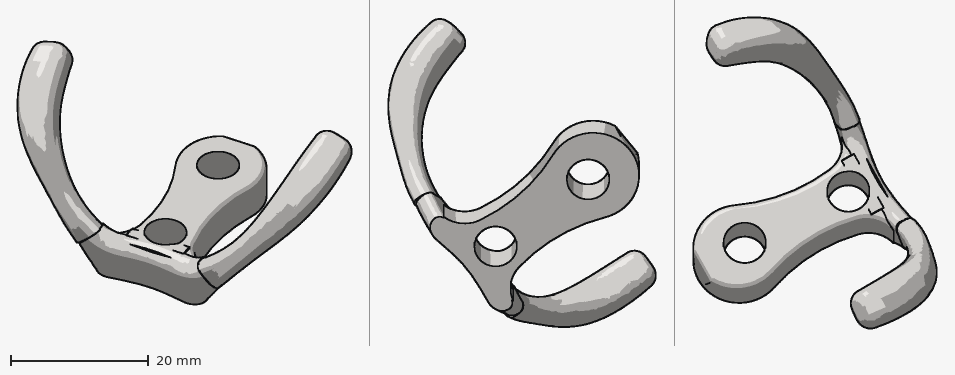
import cadquery as cq
import math


plate_height = 6.25
plate_edge_radius = 1.5
rim_height = plate_height - plate_edge_radius
head_radius = 6.7
plate_back = 24.65
head_y = plate_back - head_radius
back_draft = 6.5
heel_top_y = plate_back - rim_height * math.tan(math.radians(back_draft))
hole_diameter = 6.15
hole_spacing = 17.0

waist_x = 4.2
waist_y = 5.45
flare_radius = 5.0
flare_y = 1.65
flare_sweep_end = 255
flare_bury = 1.55

bar_height = 6.55
bar_rear_end = -3.3
bar_rear_middle = -2.0
ramp_foot_y = -1.35
ramp_top_y = -2.35
ledge_front_y = -3.35
bar_turn = 9.35
bar_front_middle = -5.45
bar_front_end = -6.55
bar_rear_radius = 1.1
bar_front_radius = 1.95
foot_half_length = 8.85
bar_flat_half_length = 4.65
arm_root_upper = (8.1, 7.8)
arm_root_lower = (11.5, 4.2)

arm_stations = [
    ((9.8, -4.9, 5.95), 4.85, 3.2),
    ((13.4, -4.55, 9.8), 3.95, 3.2),
    ((16.8, -3.2, 13.95), 4.25, 3.85),
    ((19.95, -0.8, 18.45), 5.55, 5.2),
    ((22.1, 3.7, 22.3), 6.3, 5.8),
    ((22.95, 10.35, 25.0), 5.6, 5.0),
]
arm_roundness = 0.42
arm_tip_radius = 1.85

selection_margin = 0.25


def mirrored(points):
    """Points reflected in the YZ plane, in reverse order."""
    return [(-x, y) for x, y in reversed(points)]


def on_circle(centre, radius, angle):
    """Point of a circle at an angle in radians."""
    return (centre[0] + radius * math.cos(angle), centre[1] + radius * math.sin(angle))


def plate_outline():
    """Round head, concave waist and flares, all tangent arcs, with a flat back end."""
    waist_radius = (waist_x**2 + (head_y - waist_y) ** 2 - head_radius**2) / (2 * (head_radius - waist_x))
    waist_centre = (waist_x + waist_radius, waist_y)
    flare_dx = math.sqrt((waist_radius - flare_radius) ** 2 - (waist_y - flare_y) ** 2)
    flare_centre = (waist_centre[0] - flare_dx, flare_y)

    head_to_waist = on_circle(waist_centre, waist_radius, math.atan2(head_y - waist_y, -waist_centre[0]))
    flare_start_angle = math.atan2(flare_y - waist_y, -flare_dx) + 2 * math.pi
    flare_end_angle = math.radians(flare_sweep_end)
    waist_to_flare = on_circle(waist_centre, waist_radius, flare_start_angle)
    flare_middle = on_circle(flare_centre, flare_radius, (flare_start_angle + flare_end_angle) / 2)
    flare_end = on_circle(flare_centre, flare_radius, flare_end_angle)

    flat_end = (math.sqrt(head_radius**2 - (heel_top_y - head_y) ** 2), heel_top_y)
    buried_corner = (flare_end[0] - flare_bury, flare_end[1] - flare_bury)
    waist_left, middle_left, end_left = mirrored([flare_end, flare_middle, waist_to_flare])
    return (
        cq.Workplane("XY")
        .moveTo(-flat_end[0], heel_top_y)
        .lineTo(*flat_end)
        .threePointArc((head_radius, head_y), head_to_waist)
        .threePointArc((waist_x, waist_y), waist_to_flare)
        .threePointArc(flare_middle, flare_end)
        .lineTo(*buried_corner)
        .lineTo(-buried_corner[0], buried_corner[1])
        .lineTo(*end_left)
        .threePointArc(middle_left, waist_left)
        .threePointArc((-waist_x, waist_y), mirrored([head_to_waist])[0])
        .threePointArc((-head_radius, head_y), (-flat_end[0], heel_top_y))
        .close()
    )


def screw_plate():
    """Plate with a rounded top rim and a heel that slopes out to the round back end."""
    plate = plate_outline().extrude(plate_height)
    rim = cq.selectors.BoxSelector(
        (-bar_turn, bar_rear_end, rim_height),
        (bar_turn, plate_back, plate_height + plate_edge_radius),
    )
    plate = plate.faces(">Z").edges(rim).fillet(plate_edge_radius)
    heel_wedge = (
        cq.Workplane("YZ", origin=(-head_radius, 0, 0))
        .polyline([(heel_top_y, 0), (plate_back, 0), (heel_top_y, rim_height)])
        .close()
        .extrude(2 * head_radius)
    )
    heel = cq.Workplane("XY").center(0, head_y).circle(head_radius).extrude(rim_height).intersect(heel_wedge)
    return plate.union(heel, clean=False)


def bar_outline():
    """Crossbar seen along Z, with a gently hollow front and rear."""
    reach = arm_root_lower[0] + 0.5
    front = [(bar_turn, bar_front_end), (0, bar_front_middle), (-bar_turn, bar_front_end), (-reach, bar_front_end)]
    rear = [(-bar_turn, bar_rear_end), (0, bar_rear_middle), (bar_turn, bar_rear_end), (reach, bar_rear_end)]
    return (
        cq.Workplane("XY")
        .moveTo(reach, bar_front_end)
        .spline(front, tangents=[(-1, 0), (-1, 0)], includeCurrent=True)
        .lineTo(-reach, bar_rear_end)
        .spline(rear, tangents=[(1, 0), (1, 0)], includeCurrent=True)
        .close()
    )


def rise_middle():
    """Middle of the arc that leaves the flat bar top and climbs to the arm root."""
    dx = arm_root_upper[0] - bar_flat_half_length
    dz = arm_root_upper[1] - bar_height
    half_turn = math.atan2(dz, dx)
    radius = math.hypot(dx, dz) / (2 * math.sin(half_turn))
    return on_circle((bar_flat_half_length, bar_height + radius), radius, half_turn - math.pi / 2)


def around(point):
    """Selector for the edge whose centre lies at a point."""
    low = [coordinate - selection_margin for coordinate in point]
    high = [coordinate + selection_margin for coordinate in point]
    return cq.selectors.BoxSelector(low, high)


def top_edges(end_y, middle_y):
    """Selector for the bar's top edges, flat and rising, along its front or its rear."""
    low_y, high_y = sorted((end_y, middle_y))
    low = (-arm_root_upper[0], low_y - selection_margin, bar_height - selection_margin)
    high = (arm_root_upper[0], high_y + selection_margin, arm_root_upper[1])
    return cq.selectors.BoxSelector(low, high)


def crossbar():
    """Bar with flaring feet, rising at both ends to the arm roots."""
    rise = rise_middle()
    block = (
        cq.Workplane("XZ")
        .moveTo(foot_half_length, 0)
        .lineTo(*arm_root_lower)
        .lineTo(*arm_root_upper)
        .threePointArc(rise, (bar_flat_half_length, bar_height))
        .lineTo(-bar_flat_half_length, bar_height)
        .threePointArc((-rise[0], rise[1]), (-arm_root_upper[0], arm_root_upper[1]))
        .lineTo(-arm_root_lower[0], arm_root_lower[1])
        .lineTo(-foot_half_length, 0)
        .close()
        .extrude(-2 * bar_front_end, both=True)
    )
    bar = bar_outline().extrude(2 * bar_height).intersect(block)
    foot_middle = ((foot_half_length + arm_root_lower[0]) / 2, arm_root_lower[1] / 2)
    sides = (
        (bar_front_end, bar_front_middle, bar_front_radius),
        (bar_rear_end, bar_rear_middle, bar_rear_radius),
    )
    for end_y, middle_y, radius in sides:
        bar = bar.edges(top_edges(end_y, middle_y)).fillet(radius)
    for x in (-foot_middle[0], foot_middle[0]):
        for end_y, _, radius in sides:
            bar = bar.edges(around((x, end_y, foot_middle[1]))).fillet(radius)
    return bar


def bar_ledge():
    """Shallow ramp from the plate up to the flat top of the crossbar."""
    return (
        cq.Workplane("YZ", origin=(-bar_flat_half_length, 0, 0))
        .polyline([(ramp_foot_y, rim_height), (ramp_foot_y, plate_height), (ramp_top_y, bar_height),
                   (ledge_front_y, bar_height), (ledge_front_y, rim_height)])
        .close()
        .extrude(2 * bar_flat_half_length)
    )


def arm():
    """Right arm, lofted through rounded rectangles square to its centre line, with a rounded tip."""
    centres = [cq.Vector(*centre) for centre, _, _ in arm_stations]
    last = len(centres) - 1
    sections = []
    for i, (_, width, depth) in enumerate(arm_stations):
        along = (centres[min(i + 1, last)] - centres[max(i - 1, 0)]).normalized()
        across = cq.Vector(along.z, 0, -along.x)
        plane = cq.Plane(origin=centres[i], xDir=across, normal=along)
        section = cq.Sketch().rect(width, depth).vertices().fillet(arm_roundness * depth)
        sections.append(section.moved(plane.location))
    bare_arm = cq.Workplane("XY").placeSketch(*sections).loft()
    return bare_arm.faces(">Y").edges().fillet(arm_tip_radius)


def screw_holes():
    return (
        cq.Workplane("XY")
        .pushPoints([(0, 0), (0, hole_spacing)])
        .circle(hole_diameter / 2)
        .extrude(bar_height)
    )


right_arm = arm()
result = screw_plate()
for piece in (crossbar(), bar_ledge(), right_arm, right_arm.mirror("YZ")):
    result = result.union(piece, clean=False)
result = result.cut(screw_holes(), clean=False)